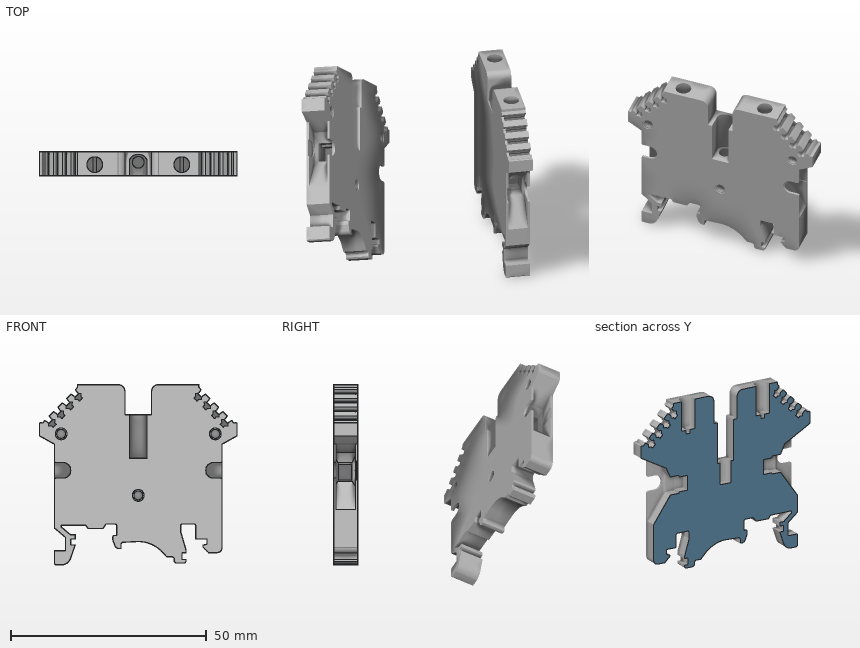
import cadquery as cq
import math


WIDTH = 50.4
THICKNESS = 6.2
HEIGHT = 46.0
FRONT_Y = -THICKNESS / 2
BACK_Y = THICKNESS / 2
EPS = 0.5

EAR_X = WIDTH / 2
EAR_LOW_Z = 32.87
EAR_HIGH_Z = 36.15
EAR_CROWN = 0.12
EAR_TOP_X = 24.35
BODY_X = 21.43
EAR_ROOT_Z = 30.78
TOP_X = 15.5
TOP_LIP_Z = 45.3
GAP_HALF = 3.37
GAP_FLOOR_Z = 38.3
TOWER_ROUND = 1.8

FOOT_BEND_TOP_Z = 9.4
FOOT_BEND_LOW_Z = 7.0
FOOT_NECK_X = -18.6
FOOT_PAD_Z = 3.6
FOOT_EDGE = 0.3
FOOT_TOE_X = -19.1
FOOT_TOE_MID = (-17.9, 0.65)
FOOT_TOE_END = (-17.15, 1.9)
FOOT_LIP_X = -16.07
FOOT_GROOVE_X = -17.17
FOOT_GROOVE_LOW_Z = 5.08
FOOT_GROOVE_HIGH_Z = 6.56
FOOT_LIP_Z = 7.73
FOOT_ROOT_X = -17.35

SPRING_GAP_X = -19.63
SPRING_GAP_LOW_Z = 9.65
SPRING_GAP_Z = 10.06
PAD_Z = 9.22
PAD_LEFT_X = -12.77
PAD_LEFT_RUN = 0.65
PAD_RIGHT_X = -9.0
PAD_RIGHT_RUN = 0.75
RAIL_SLOT_Z = 10.38
SLOT_CORNER = 0.4

LEFT_STOP_X = -5.53
LEFT_NOSE_X = -6.53
NOSE_TOP_Z = 7.53
NOSE_ROUND = 0.55
NOSE_TAPER_Z = 6.4
NOSE_TIP_START = (-5.95, 4.8)
NOSE_TIP_MID = (-5.5, 4.3)
NOSE_TIP_END = (-4.85, 4.1)
NOSE_INNER_X = -4.36
ARCH_SPRING_Z = 5.72
ARCH_CORNER = 0.45

ARCH_CREST = (-0.3, 5.9)
ARCH_MID = (3.9, 4.95)
ARCH_END = (6.4, 2.95)
ARCH_TOE_X = 7.3
ARCH_TOE_Z = 2.0

HOOK_LEFT_X = 9.18
HOOK_RIGHT_X = 12.19
HOOK_LOW_Z = 0.42
HOOK_CHAMFER = 0.38
HOOK_NOTCH_X = 11.18
HOOK_NOTCH_LOW_Z = 1.4
HOOK_TAPER_LOW_Z = 3.88
HOOK_TAPER_HIGH_Z = 8.4

RAIL_SLOT_LEFT_X = 10.86
RAIL_SLOT_RIGHT_X = 14.64
RAIL_SHELF_Z = 6.56
UNDERCUT_X = 17.49
UNDERCUT_LOW_Z = 5.3
RIGHT_LIP_X = 16.46
RIGHT_LIP_HIGH_Z = 5.0
RIGHT_LIP_LOW_Z = 4.6
RIGHT_SOLE_X = 17.98
RIGHT_SOLE_Z = 3.07
RIGHT_ROUND = 1.4

GROOVES = 4
GROOVE_STEP = 2.23
FIRST_GROOVE_X = 16.6
FIRST_GROOVE_Z = 44.12
SHOULDER_ANGLE = 45.0
MOUTH_HALF = 0.78
THROAT_HALF = 0.63
THROAT_DEPTH = 0.8
MOUTH_DEPTH = 1.25
BULB_ENTRY_HALF = 0.67
BULB_HALF = 1.12
BULB_MID_DEPTH = 1.7
BULB_END_DEPTH = 2.25
NECK_HALF = 0.55
GROOVE_DEPTH = 2.8
WEB_THICKNESS = 0.6

SLOT_WIDTH = 4.5
SLOT_STRAIGHT_Y = 0.9
SLOT_FLOOR_Z = 27.1
SLOT_FLOOR_RISE = 0.18
SLOT_BACK_Y = 2.4
TEST_HOLE_D = 3.0
TEST_HOLE_Y = 0.35
TEST_HOLE_DEPTH = 6.0

SCREW_X = 11.1
SCREW_Y = -0.25
SCREW_HOLE_D = 4.0
SCREW_HEAD_DEPTH = 8.0
DRIVER_WIDTH = 1.0
DRIVER_DEPTH = 1.0

PEG_SEAT_D = 3.0
PEG_HOLE_D = 2.3
PEG_SEAT_DEPTH = 0.25
PEG_HOLE_DEPTH = 1.5
SIDE_PEG_X = 19.67
SIDE_PEG_Z = 33.4
LOW_PEG_Z = 17.7

FUNNEL_FRONT_Y = -2.5
FUNNEL_BACK_Y = 2.45
FUNNEL_LOW_Z = 14.1
ROOF_X = 17.68
ROOF_Z = 28.7
WIRE_X = 16.4
WIRE_FRONT_Y = -2.0
WIRE_BACK_Y = 1.6
WIRE_LOW_Z = 21.3
WIRE_HIGH_Z = 26.05
WIRE_LEDGE_DEPTH = 2.5
WIRE_DEPTH = 5.0
LEDGE_SIDE = 0.12
LEDGE_BOTTOM = 0.35
LEDGE_TOP = 0.5

NOTCH_RADIUS = 2.0
NOTCH_X = 19.22
NOTCH_Z = 24.1
NOTCH_ROUND = 0.4
NOTCH_BACK_RECESS = 0.3


def both_sides(solid):
    """Return the solid together with its mirror image across the YZ plane."""
    return solid.union(solid.mirror("YZ"))


def extrude_y(wire, front, back):
    """Extrude a closed XZ outline from y = front to y = back."""
    return wire.extrude(-(back - front)).translate((0, front, 0))


def box(x_range, y_range, z_range):
    sizes = [high - low for low, high in (x_range, y_range, z_range)]
    corner = (x_range[0], y_range[0], z_range[0])
    return cq.Workplane("XY").box(*sizes, centered=False).translate(corner)


def groove_point(index):
    """Centre of a left marker groove on the shoulder line."""
    shift = index * GROOVE_STEP
    return -FIRST_GROOVE_X - shift, FIRST_GROOVE_Z - shift


def spring_foot(outline):
    """Hooked spring foot on the left, from the flank to the root of the hook."""
    neck_x = FOOT_NECK_X
    lip_x = FOOT_LIP_X
    return (
        outline.lineTo(-BODY_X, FOOT_BEND_TOP_Z)
        .lineTo(neck_x, FOOT_BEND_LOW_Z)
        .lineTo(neck_x, FOOT_PAD_Z)
        .lineTo(-BODY_X, FOOT_PAD_Z)
        .lineTo(-BODY_X, FOOT_EDGE)
        .lineTo(-BODY_X + FOOT_EDGE, 0)
        .lineTo(FOOT_TOE_X, 0)
        .threePointArc(FOOT_TOE_MID, FOOT_TOE_END)
        .lineTo(lip_x, FOOT_GROOVE_LOW_Z)
        .lineTo(FOOT_GROOVE_X, FOOT_GROOVE_LOW_Z)
        .lineTo(FOOT_GROOVE_X, FOOT_GROOVE_HIGH_Z)
        .lineTo(lip_x, FOOT_GROOVE_HIGH_Z)
        .lineTo(lip_x, FOOT_LIP_Z)
        .lineTo(FOOT_ROOT_X, FOOT_LIP_Z)
        .lineTo(SPRING_GAP_X, SPRING_GAP_LOW_Z)
    )


def left_underside(outline):
    """Spring gap and the shallow pad left of the first rail stop."""
    return (
        outline.lineTo(SPRING_GAP_X, SPRING_GAP_Z)
        .lineTo(PAD_LEFT_X - PAD_LEFT_RUN, SPRING_GAP_Z)
        .lineTo(PAD_LEFT_X, PAD_Z)
        .lineTo(PAD_RIGHT_X, PAD_Z)
        .lineTo(PAD_RIGHT_X + PAD_RIGHT_RUN, RAIL_SLOT_Z)
        .lineTo(LEFT_STOP_X - SLOT_CORNER, RAIL_SLOT_Z)
        .radiusArc((LEFT_STOP_X, RAIL_SLOT_Z - SLOT_CORNER), SLOT_CORNER)
    )


def left_stop(outline):
    """Rounded nose of the left rail stop."""
    nose_x = LEFT_NOSE_X
    return (
        outline.lineTo(LEFT_STOP_X, NOSE_TOP_Z)
        .lineTo(nose_x + NOSE_ROUND, NOSE_TOP_Z)
        .radiusArc((nose_x, NOSE_TOP_Z - NOSE_ROUND), -NOSE_ROUND)
        .lineTo(nose_x, NOSE_TAPER_Z)
        .lineTo(*NOSE_TIP_START)
        .threePointArc(NOSE_TIP_MID, NOSE_TIP_END)
        .lineTo(NOSE_INNER_X, NOSE_TIP_END[1])
        .lineTo(NOSE_INNER_X, ARCH_SPRING_Z - ARCH_CORNER)
        .radiusArc((NOSE_INNER_X + ARCH_CORNER, ARCH_SPRING_Z), ARCH_CORNER)
    )


def arched_underside(outline):
    """Underside between the rail stops: nearly flat, then falling away in an arc."""
    return (
        outline.lineTo(*ARCH_CREST)
        .threePointArc(ARCH_MID, ARCH_END)
        .lineTo(ARCH_TOE_X, ARCH_TOE_Z)
        .lineTo(HOOK_LEFT_X - HOOK_CHAMFER, ARCH_TOE_Z)
    )


def right_stop(outline):
    """Hooked rail stop on the right of the arch, up to the rail slot."""
    return (
        outline.lineTo(HOOK_LEFT_X, ARCH_TOE_Z - HOOK_CHAMFER)
        .lineTo(HOOK_LEFT_X, HOOK_LOW_Z + HOOK_CHAMFER)
        .lineTo(HOOK_LEFT_X + HOOK_CHAMFER, HOOK_LOW_Z)
        .lineTo(HOOK_RIGHT_X - HOOK_CHAMFER, HOOK_LOW_Z)
        .lineTo(HOOK_RIGHT_X, HOOK_LOW_Z + HOOK_CHAMFER)
        .lineTo(HOOK_RIGHT_X, HOOK_NOTCH_LOW_Z)
        .lineTo(HOOK_NOTCH_X, HOOK_NOTCH_LOW_Z)
        .lineTo(HOOK_NOTCH_X, RIGHT_SOLE_Z)
        .lineTo(HOOK_RIGHT_X, RIGHT_SOLE_Z)
        .lineTo(HOOK_RIGHT_X, HOOK_TAPER_LOW_Z)
        .lineTo(RAIL_SLOT_LEFT_X, HOOK_TAPER_HIGH_Z)
    )


def right_foot(outline):
    """Rail slot and the fixed foot with its small undercut lip."""
    slot_right = RAIL_SLOT_RIGHT_X
    return (
        outline.lineTo(RAIL_SLOT_LEFT_X, RAIL_SLOT_Z - SLOT_CORNER)
        .radiusArc((RAIL_SLOT_LEFT_X + SLOT_CORNER, RAIL_SLOT_Z), SLOT_CORNER)
        .lineTo(slot_right - SLOT_CORNER, RAIL_SLOT_Z)
        .radiusArc((slot_right, RAIL_SLOT_Z - SLOT_CORNER), SLOT_CORNER)
        .lineTo(slot_right, RAIL_SHELF_Z)
        .lineTo(UNDERCUT_X, RAIL_SHELF_Z)
        .lineTo(UNDERCUT_X, UNDERCUT_LOW_Z)
        .lineTo(RIGHT_LIP_X, RIGHT_LIP_HIGH_Z)
        .lineTo(RIGHT_LIP_X, RIGHT_LIP_LOW_Z)
        .lineTo(RIGHT_SOLE_X, RIGHT_SOLE_Z)
        .lineTo(BODY_X - RIGHT_ROUND, RIGHT_SOLE_Z)
        .radiusArc((BODY_X, RIGHT_SOLE_Z + RIGHT_ROUND), -RIGHT_ROUND)
    )


def upper_outline(outline):
    """Ears, shoulders and towers, the same on both sides, with the gap between them."""
    half_flat = MOUTH_HALF * math.cos(math.radians(SHOULDER_ANGLE))
    last_x, last_z = groove_point(GROOVES - 1)
    ear_end = (-last_x + half_flat, last_z - half_flat)
    shoulder_end = (FIRST_GROOVE_X - half_flat, FIRST_GROOVE_Z + half_flat)
    shoulder = [ear_end, shoulder_end, (TOP_X, TOP_LIP_Z), (TOP_X, HEIGHT),
                (GAP_HALF, HEIGHT), (GAP_HALF, GAP_FLOOR_Z)]
    ear_outer = (EAR_X, EAR_HIGH_Z)
    ear_crown = ((EAR_X + EAR_TOP_X) / 2, EAR_HIGH_Z + EAR_CROWN)
    ear_inner = (EAR_TOP_X, EAR_HIGH_Z)

    outline = outline.lineTo(BODY_X, EAR_ROOT_Z).lineTo(EAR_X, EAR_LOW_Z)
    outline = outline.lineTo(*ear_outer).threePointArc(ear_crown, ear_inner)
    for x, z in shoulder:
        outline = outline.lineTo(x, z)
    for x, z in reversed(shoulder):
        outline = outline.lineTo(-x, z)
    outline = outline.lineTo(-ear_inner[0], ear_inner[1])
    outline = outline.threePointArc((-ear_crown[0], ear_crown[1]), (-EAR_X, EAR_HIGH_Z))
    return outline.lineTo(-EAR_X, EAR_LOW_Z)


def plate():
    """Full outline extruded through the thickness, with rounded tower corners."""
    outline = cq.Workplane("XZ").moveTo(-BODY_X, EAR_ROOT_Z)
    sections = (spring_foot, left_underside, left_stop, arched_underside,
                right_stop, right_foot, upper_outline)
    for section in sections:
        outline = section(outline)
    body = extrude_y(outline.close(), FRONT_Y, BACK_Y)
    tower_corners = cq.selectors.BoxSelector(
        (-GAP_HALF - EPS, FRONT_Y - EPS, HEIGHT - EPS),
        (GAP_HALF + EPS, BACK_Y + EPS, HEIGHT + EPS))
    return body.edges("|Y").edges(tower_corners).fillet(TOWER_ROUND)


def groove_cutters():
    """Marker grooves: a through mouth, then a bulb pocket closed by a thin back web."""
    def place(cutter, index):
        x, z = groove_point(index)
        return cutter.rotate((0, 0, 0), (0, 1, 0), -SHOULDER_ANGLE).translate((x, 0, z))

    mouth_outline = cq.Workplane("XZ").polyline([
        (-MOUTH_HALF, EPS), (-MOUTH_HALF, 0), (-THROAT_HALF, -THROAT_DEPTH),
        (-BULB_ENTRY_HALF, -MOUTH_DEPTH), (BULB_ENTRY_HALF, -MOUTH_DEPTH),
        (THROAT_HALF, -THROAT_DEPTH), (MOUTH_HALF, 0), (MOUTH_HALF, EPS),
    ]).close()
    mouth = extrude_y(mouth_outline, FRONT_Y - EPS, BACK_Y + EPS)

    bulb_outline = (
        cq.Workplane("XZ")
        .moveTo(-BULB_ENTRY_HALF, -MOUTH_DEPTH)
        .lineTo(-BULB_HALF, -BULB_MID_DEPTH)
        .lineTo(-NECK_HALF, -BULB_END_DEPTH)
        .lineTo(-NECK_HALF, -GROOVE_DEPTH)
        .lineTo(NECK_HALF, -GROOVE_DEPTH)
        .lineTo(NECK_HALF, -BULB_END_DEPTH)
        .lineTo(BULB_HALF, -BULB_MID_DEPTH)
        .lineTo(BULB_ENTRY_HALF, -MOUTH_DEPTH)
        .close()
    )
    bulb = extrude_y(bulb_outline, FRONT_Y - EPS, BACK_Y - WEB_THICKNESS)

    groove = mouth.union(bulb)
    cutters = place(groove, 0)
    for index in range(1, GROOVES):
        cutters = cutters.union(place(groove, index))
    return both_sides(cutters)


def test_slot_cutter():
    """Slot open to the front, rounded at the back, with a round hole in its floor.

    The floor rises slightly towards the back.
    """
    half = SLOT_WIDTH / 2
    slot = (
        cq.Workplane("XY", origin=(0, 0, SLOT_FLOOR_Z))
        .moveTo(-half, FRONT_Y - EPS)
        .lineTo(-half, SLOT_STRAIGHT_Y)
        .threePointArc((0, SLOT_BACK_Y), (half, SLOT_STRAIGHT_Y))
        .lineTo(half, FRONT_Y - EPS)
        .close()
        .extrude(GAP_FLOOR_Z + EPS - SLOT_FLOOR_Z)
    )
    wedge = cq.Workplane("YZ").polyline([
        (FRONT_Y, SLOT_FLOOR_Z),
        (SLOT_BACK_Y, SLOT_FLOOR_Z + SLOT_FLOOR_RISE),
        (SLOT_BACK_Y, SLOT_FLOOR_Z),
    ]).close().extrude(half, both=True)
    hole_top = cq.Workplane("XY", origin=(0, TEST_HOLE_Y, SLOT_FLOOR_Z + SLOT_FLOOR_RISE))
    hole = hole_top.circle(TEST_HOLE_D / 2).extrude(-TEST_HOLE_DEPTH)
    return slot.cut(wedge).union(hole)


def screw_cutters():
    """Round wells down to the slotted screw heads."""
    head_z = HEIGHT - SCREW_HEAD_DEPTH
    head = cq.Workplane("XY").workplane(offset=head_z).center(SCREW_X, SCREW_Y)
    well = head.circle(SCREW_HOLE_D / 2).extrude(SCREW_HEAD_DEPTH + EPS)
    slot = head.circle(SCREW_HOLE_D / 2).extrude(-DRIVER_DEPTH)
    slot = slot.intersect(head.rect(DRIVER_WIDTH, SCREW_HOLE_D).extrude(-DRIVER_DEPTH))
    return both_sides(well.union(slot))


def peg_cutters():
    """Blind stepped holes in the front face."""
    places = [(-SIDE_PEG_X, SIDE_PEG_Z), (SIDE_PEG_X, SIDE_PEG_Z), (0, LOW_PEG_Z)]
    face = cq.Workplane("XZ", origin=(0, FRONT_Y, 0)).pushPoints(places)
    seats = face.circle(PEG_SEAT_D / 2).extrude(-PEG_SEAT_DEPTH)
    return seats.union(face.circle(PEG_HOLE_D / 2).extrude(-PEG_HOLE_DEPTH))


def funnel_cutters():
    """Wire entries: a funnel closing in on a stepped rectangular opening."""
    side = cq.Workplane("XZ").polyline([
        (-BODY_X - EPS, EAR_ROOT_Z),
        (-BODY_X, EAR_ROOT_Z),
        (-ROOF_X, ROOF_Z),
        (-WIRE_X, WIRE_HIGH_Z),
        (-WIRE_X, WIRE_LOW_Z),
        (-BODY_X, FUNNEL_LOW_Z),
        (-BODY_X - EPS, FUNNEL_LOW_Z),
    ]).close()
    funnel = extrude_y(side, FUNNEL_FRONT_Y, FUNNEL_BACK_Y)
    front_inset = WIRE_FRONT_Y - FUNNEL_FRONT_Y
    back_inset = FUNNEL_BACK_Y - WIRE_BACK_Y
    plan = cq.Workplane("XY").polyline([
        (-BODY_X - EPS, FUNNEL_FRONT_Y),
        (-WIRE_X - front_inset, FUNNEL_FRONT_Y),
        (-WIRE_X, WIRE_FRONT_Y),
        (-WIRE_X, WIRE_BACK_Y),
        (-WIRE_X - back_inset, FUNNEL_BACK_Y),
        (-BODY_X - EPS, FUNNEL_BACK_Y),
    ]).close().extrude(HEIGHT)
    funnel = funnel.intersect(plan)

    opening = box((-WIRE_X, -WIRE_X + WIRE_LEDGE_DEPTH), (WIRE_FRONT_Y, WIRE_BACK_Y),
                  (WIRE_LOW_Z, WIRE_HIGH_Z))
    channel = box((-WIRE_X, -WIRE_X + WIRE_DEPTH),
                  (WIRE_FRONT_Y + LEDGE_SIDE, WIRE_BACK_Y - LEDGE_SIDE),
                  (WIRE_LOW_Z + LEDGE_BOTTOM, WIRE_HIGH_Z - LEDGE_TOP))
    return both_sides(funnel.union(opening).union(channel))


def notch_cutters():
    """U notches through the front funnel wall and into the inside of the back wall."""
    low_z = NOTCH_Z - NOTCH_RADIUS
    high_z = NOTCH_Z + NOTCH_RADIUS
    bend = NOTCH_ROUND * math.sin(math.radians(45))
    arc_x = -BODY_X + NOTCH_ROUND - bend
    arc_z = NOTCH_ROUND - bend
    outline = (
        cq.Workplane("XZ")
        .moveTo(-BODY_X, low_z - NOTCH_ROUND)
        .threePointArc((arc_x, low_z - arc_z), (-BODY_X + NOTCH_ROUND, low_z))
        .lineTo(-NOTCH_X, low_z)
        .threePointArc((-NOTCH_X + NOTCH_RADIUS, NOTCH_Z), (-NOTCH_X, high_z))
        .lineTo(-BODY_X + NOTCH_ROUND, high_z)
        .threePointArc((arc_x, high_z + arc_z), (-BODY_X, high_z + NOTCH_ROUND))
        .close()
    )
    return both_sides(extrude_y(outline, FRONT_Y - EPS, FUNNEL_BACK_Y + NOTCH_BACK_RECESS))


result = (
    plate()
    .cut(groove_cutters())
    .cut(test_slot_cutter())
    .cut(screw_cutters())
    .cut(peg_cutters())
    .cut(funnel_cutters())
    .cut(notch_cutters())
)